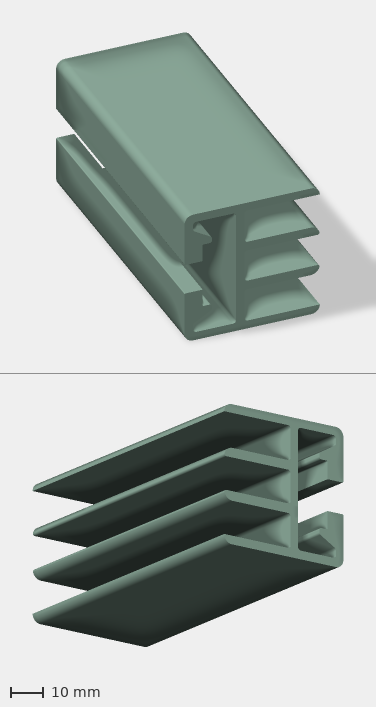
import cadquery as cq
import math

length = 100.0
size = 45.0
half = size / 2

wall = 2.8
outer_radius = wall
inner_radius = 1.0
web_front = -5.4
web_back = web_front + wall
fin_outer_z = 8.5
fin_inner_z = 5.4
fin_tip_radius = 0.7

lip_thickness = 6.0
slot_half_height = 5.1
barb_reach = 9.1
barb_base_z = 11.0
barb_tip_z = 13.0
barb_angle = math.radians(30)
barb_radius = 0.8
step_radius = 0.3
slot_edge_radius = 0.3


def bar(y_min, y_max, z_min, z_max):
    """Full-length rectangular bar between the given Y and Z limits."""
    return cq.Workplane("XY").box(length, y_max - y_min, z_max - z_min, centered=False).translate(
        (-length / 2, y_min, z_min)
    )


def round_edge(body, y, z, radius):
    """Round the lengthwise edge passing through (y, z)."""
    return body.edges(cq.selectors.NearestToPointSelector((0, y, z))).fillet(radius)


def middle_fin():
    """Upper middle fin: its tip is a quarter round of full fin thickness with a softened point."""
    thickness = fin_outer_z - fin_inner_z
    tip_y = half - thickness
    fin = (
        cq.Workplane("YZ")
        .moveTo(web_front, fin_inner_z)
        .lineTo(half, fin_inner_z)
        .radiusArc((tip_y, fin_outer_z), -thickness)
        .lineTo(web_front, fin_outer_z)
        .close()
        .extrude(length / 2, both=True)
    )
    return round_edge(fin, half, fin_inner_z, fin_tip_radius)


def lip():
    """Upper front lip with its inward-pointing barb."""
    wall_y = -half + wall
    tip_y = -half + barb_reach
    step_y = -half + lip_thickness
    slope_top_z = barb_tip_z + (barb_reach - wall) * math.tan(barb_angle)
    points = [
        (-half, slot_half_height),
        (step_y, slot_half_height),
        (step_y, barb_base_z),
        (tip_y, barb_base_z),
        (tip_y, barb_tip_z),
        (wall_y, slope_top_z),
        (wall_y, half - wall),
        (-half, half - wall),
    ]
    body = cq.Workplane("YZ").polyline(points).close().extrude(length / 2, both=True)
    body = round_edge(body, -half, slot_half_height, slot_edge_radius)
    body = round_edge(body, step_y, barb_base_z, step_radius)
    body = round_edge(body, wall_y, slope_top_z, inner_radius)
    for z in (barb_base_z, barb_tip_z):
        body = round_edge(body, tip_y, z, barb_radius)
    return body


envelope = cq.Workplane("XY").box(length, size, size).edges("|X").fillet(outer_radius)

upper = bar(-half, half, half - wall, half).union(middle_fin()).union(lip())
profile = upper.union(upper.mirror("XY")).union(bar(web_front, web_back, -half, half))
profile = profile.intersect(envelope)

for side in (1, -1):
    for root_y, root_z in (
        (web_back, half - wall),
        (web_back, fin_outer_z),
        (web_back, fin_inner_z),
        (web_front, half - wall),
        (-half + wall, half - wall),
    ):
        profile = round_edge(profile, root_y, side * root_z, inner_radius)

result = profile